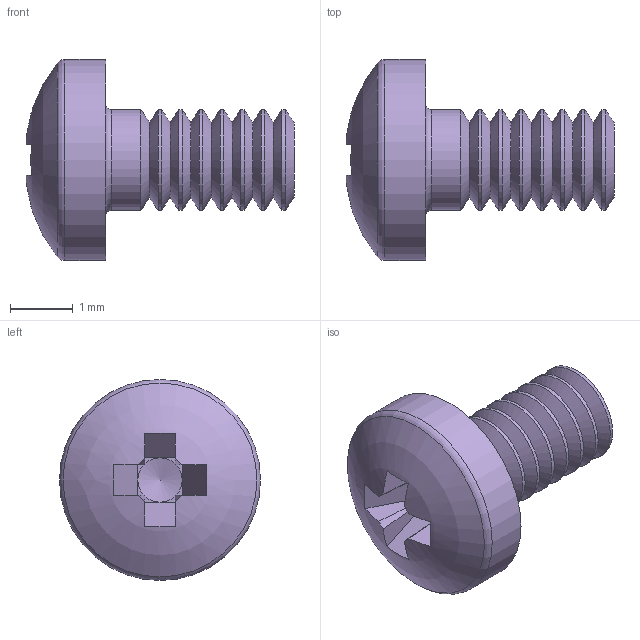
import cadquery as cq
import math


HEAD_RADIUS = 1.6
HEAD_HEIGHT = 1.3
DOME_RADIUS = 2.5
RIM_FILLET = 0.15

SHANK_LENGTH = 3.0
SHANK_RADIUS = 0.8
ROOT_RADIUS = 0.6
THREAD_START = 0.7
RIDGE_COUNT = 7
CREST_WIDTH = 0.055
NECK_FILLET = 0.1

WING_WIDTH = 0.48
WING_REACH = 0.743
FLOOR_RADIUS = 0.352
MOUTH_RADIUS = 0.415
RECESS_DEPTH = 0.9
TIP_DEPTH = 0.1

DOME_CENTER_X = DOME_RADIUS - HEAD_HEIGHT
FLOOR_X = -HEAD_HEIGHT + RECESS_DEPTH
PITCH = (SHANK_LENGTH - THREAD_START) / RIDGE_COUNT
FLANK_LENGTH = (PITCH - CREST_WIDTH) / 2


def dome_x(radius):
    """X of the dome surface at a given distance from the axis."""
    return DOME_CENTER_X - math.sqrt(DOME_RADIUS**2 - radius**2)


def revolve_about_x(profile):
    """Close a half profile on the axis and turn it into a solid."""
    return profile.close().revolve(360, (0, 0, 0), (1, 0, 0))


def make_head():
    """Domed disc with a rounded rim."""
    fillet_center_radius = HEAD_RADIUS - RIM_FILLET
    fillet_center_angle = math.asin(fillet_center_radius / (DOME_RADIUS - RIM_FILLET))
    fillet_center_x = DOME_CENTER_X - (DOME_RADIUS - RIM_FILLET) * math.cos(fillet_center_angle)

    def dome_point(angle):
        return (DOME_CENTER_X - DOME_RADIUS * math.cos(angle), DOME_RADIUS * math.sin(angle))

    def fillet_point(angle):
        return (
            fillet_center_x - RIM_FILLET * math.cos(angle),
            fillet_center_radius + RIM_FILLET * math.sin(angle),
        )

    profile = (
        cq.Workplane("XY")
        .moveTo(0, 0)
        .lineTo(-HEAD_HEIGHT, 0)
        .threePointArc(dome_point(fillet_center_angle / 2), dome_point(fillet_center_angle))
        .threePointArc(
            fillet_point((fillet_center_angle + math.pi / 2) / 2),
            (fillet_center_x, HEAD_RADIUS),
        )
        .lineTo(0, HEAD_RADIUS)
    )
    return revolve_about_x(profile)


def make_shank():
    """Plain neck followed by ring-shaped thread ridges with sharp roots."""
    profile = (
        cq.Workplane("XY")
        .moveTo(0, 0)
        .lineTo(0, SHANK_RADIUS + NECK_FILLET)
        .radiusArc((NECK_FILLET, SHANK_RADIUS), -NECK_FILLET)
        .lineTo(THREAD_START - FLANK_LENGTH, SHANK_RADIUS)
        .lineTo(THREAD_START, ROOT_RADIUS)
    )
    for ridge in range(RIDGE_COUNT):
        ridge_start = THREAD_START + ridge * PITCH
        profile = (
            profile.lineTo(ridge_start + FLANK_LENGTH, SHANK_RADIUS)
            .lineTo(ridge_start + FLANK_LENGTH + CREST_WIDTH, SHANK_RADIUS)
            .lineTo(ridge_start + PITCH, ROOT_RADIUS)
        )
    return revolve_about_x(profile.lineTo(SHANK_LENGTH, 0))


def reach_at_apex(floor_reach, dome_reach):
    """Extend a sloped recess wall, given at the floor and at the dome, out to the apex plane."""
    slope = (dome_reach - floor_reach) / (FLOOR_X - dome_x(dome_reach))
    return floor_reach + slope * RECESS_DEPTH


def make_wing_pair(plane):
    """Two opposite wings with inward sloping ends."""
    mouth_reach = reach_at_apex(FLOOR_RADIUS, WING_REACH)
    return (
        cq.Workplane(plane)
        .polyline(
            [
                (-HEAD_HEIGHT, -mouth_reach),
                (-HEAD_HEIGHT, mouth_reach),
                (FLOOR_X, FLOOR_RADIUS),
                (FLOOR_X, -FLOOR_RADIUS),
            ]
        )
        .close()
        .extrude(WING_WIDTH / 2, both=True)
    )


def make_centre_hole():
    """Tapered round hole with a shallow conical bottom."""
    profile = (
        cq.Workplane("XY")
        .moveTo(-HEAD_HEIGHT, 0)
        .lineTo(-HEAD_HEIGHT, reach_at_apex(FLOOR_RADIUS, MOUTH_RADIUS))
        .lineTo(FLOOR_X, FLOOR_RADIUS)
        .lineTo(FLOOR_X + TIP_DEPTH, 0)
    )
    return revolve_about_x(profile)


result = (
    make_head()
    .union(make_shank())
    .cut(make_wing_pair("XY"))
    .cut(make_wing_pair("XZ"))
    .cut(make_centre_hole())
)